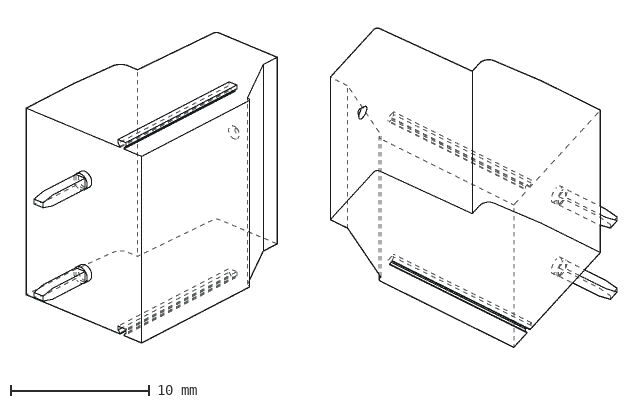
import cadquery as cq
import math


pole_pitch = 7.62
pole_count = 2
width = 11.2
height = pole_count * pole_pitch
depth = 17.99

left_wall_end = 5.15
step_y = 9.8
step_x = 2.0
lower_lean = 4.0
upper_lean = 2.0
step_radius = 0.8
back_radius = 0.3

shelf_y = 11.81
shelf_width = 0.35
shelf_radius = 0.2
neck_start = 16.47
neck_x = 8.22

dovetail_x = 9.3
dovetail_width = 0.75
dovetail_neck = 0.37
dovetail_height = 0.58
dovetail_head = 0.3
dovetail_neck_height = 0.07
dovetail_length = 12.0

pin_x = 5.7
collar_diameter = 1.3
collar_length = 0.5
pin_side = 0.89
pin_reach = 5.0
tip_length = 1.0
tip_thickness = 0.4

button_x = 4.0
button_base_radius = 0.51
button_tip_radius = 0.19
button_height = 0.3


def housing():
    """Side outline swept through the full height, with its convex corners rounded."""
    lower_shift = (step_y - left_wall_end) * math.tan(math.radians(lower_lean))
    upper_shift = (depth - step_y) * math.tan(math.radians(upper_lean))
    step_corner = (lower_shift, step_y)
    back_corner = (step_x + upper_shift, depth)
    shelf_corner = (width, shelf_y)
    outline = [
        (0, 0),
        (0, left_wall_end),
        step_corner,
        (step_x, step_y),
        back_corner,
        (neck_x, depth),
        (neck_x, neck_start),
        (width - shelf_width, shelf_y),
        shelf_corner,
        (width, 0),
    ]
    body = cq.Workplane("XY").polyline(outline).close().extrude(height)
    rounded_corners = [
        (step_corner, step_radius),
        (back_corner, back_radius),
        (shelf_corner, shelf_radius),
    ]
    for (x, y), radius in rounded_corners:
        body = body.edges(cq.selectors.NearestToPointSelector((x, y, height / 2))).fillet(radius)
    return body


def dovetail(base_z):
    """Dovetail bar standing on base_z, running back from the pin face."""
    return (
        cq.Workplane("XZ", origin=(dovetail_x, 0, base_z))
        .moveTo(-dovetail_neck / 2, 0)
        .lineTo(-dovetail_neck / 2, dovetail_neck_height)
        .lineTo(-dovetail_width / 2, dovetail_height - dovetail_head)
        .lineTo(-dovetail_width / 2, dovetail_height)
        .lineTo(dovetail_width / 2, dovetail_height)
        .lineTo(dovetail_width / 2, dovetail_height - dovetail_head)
        .lineTo(dovetail_neck / 2, dovetail_neck_height)
        .lineTo(dovetail_neck / 2, 0)
        .close()
        .extrude(-dovetail_length)
    )


def pin(z):
    """Square pin with a round collar and a tip tapered above and below."""
    collar = (
        cq.Workplane("XZ", origin=(pin_x, 0, z))
        .circle(collar_diameter / 2)
        .extrude(collar_length)
    )
    shank = (
        cq.Workplane("YZ", origin=(pin_x, 0, z))
        .moveTo(0, -pin_side / 2)
        .lineTo(tip_length - pin_reach, -pin_side / 2)
        .lineTo(-pin_reach, -tip_thickness / 2)
        .lineTo(-pin_reach, tip_thickness / 2)
        .lineTo(tip_length - pin_reach, pin_side / 2)
        .lineTo(0, pin_side / 2)
        .close()
        .extrude(pin_side / 2, both=True)
    )
    return collar.union(shank)


def button():
    """Cone with a flat tip at mid height on the back face."""
    return (
        cq.Workplane("XY", origin=(button_x, depth, height / 2))
        .lineTo(button_base_radius, 0)
        .lineTo(button_tip_radius, button_height)
        .lineTo(0, button_height)
        .close()
        .revolve(360, (0, 0), (0, 1))
    )


result = housing().cut(dovetail(0)).union(dovetail(height)).union(button())
for pole in range(pole_count):
    result = result.union(pin((pole + 0.5) * pole_pitch))